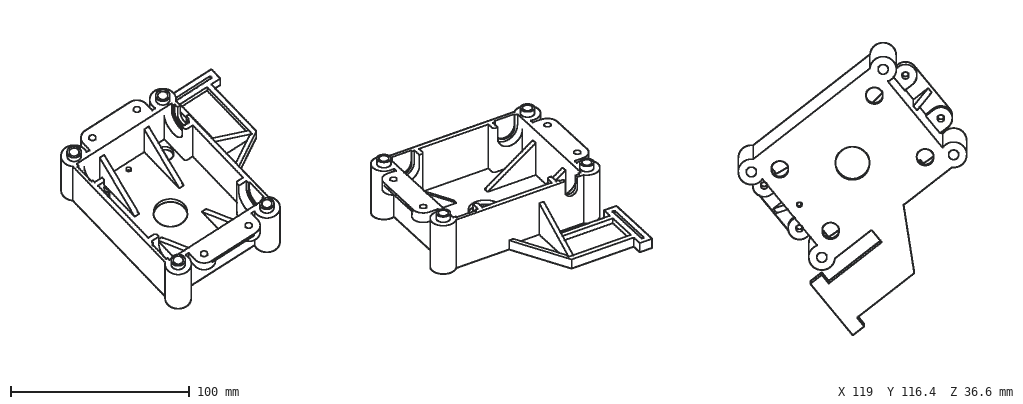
import cadquery as cq
import math

box_height = 33.0
wall = 3.0
floor = 3.0
inner_half_x = 42.0
inner_half_y = 33.7
outer_half_x = inner_half_x + wall
outer_half_y = inner_half_y + wall

post_x = 47.3
post_y = 31.5
post_radius = 7.4
pin_diameter = 8.0
pin_height = 3.6
post_bore = 5.6
post_web_reach = 6.8

ear_reach = 57.1
ear_radius = 6.4
ear_hole_x = ear_reach - ear_radius
ear_hole_y = 15.8
ear_hole = 3.9
ear_boss_height = 6.4
ear_plate = 3.0
ear_round = 1.5
ear_rib_width = 3.2
ear_rib_bottom = 14.8

centre_hole = 19.0
corner_hole = 9.5
corner_hole_y = 22.7
pilot_hole = 2.9
pilot_x = -38.1

rib_width = 3.2
rib_length = 31.8
rib_height = 21.8

seat_radius = 8.1
seat_x = inner_half_x - seat_radius
seat_z = 25.6
seat_depth = 5.2
seat_side = 3.0
seat_round = 1.5
recess_radius = 6.4
recess_depth = 1.0
shaft_slot_width = 7.9

arm_height = 6.3
arm_floor = 3.0
bar_left = -61.9
bar_width = 8.2
bar_y_min = 39.4
bar_length = 38.1
slot_width = 1.5
slot_margin = 3.5
tray_y_min = 45.7
tray_y_max = 71.1
tray_wall = 3.1
gusset_right = -12.7
gusset_angle = 30.0
brace_angle = 30.0
brace_width = 2.9

bar_right = bar_left + bar_width
gusset_left = gusset_right - wall
SIDES = (-1, 1)
CORNERS = [(sx, sy) for sx in SIDES for sy in SIDES]


def block(x0, x1, y0, y1, z0, z1):
    """Box between two opposite corners, given in any order."""
    size = (abs(x1 - x0), abs(y1 - y0), abs(z1 - z0))
    corner = (min(x0, x1), min(y0, y1), min(z0, z1))
    return cq.Workplane("XY").box(*size, centered=False).translate(corner)


def rod(x, y, diameter, z0, z1):
    """Upright cylinder."""
    return cq.Workplane("XY", origin=(x, y, z0)).circle(diameter / 2).extrude(z1 - z0)


def prism_along_y(points, y, width):
    """Outline in x and z, given a thickness centred on y."""
    return cq.Workplane("XZ", origin=(0, y, 0)).polyline(points).close().extrude(width / 2, both=True)


def make_post(sx, sy):
    """Corner post, its pin and the web that joins it to the short wall."""
    x, y = sx * post_x, sy * post_y
    post = rod(x, y, 2 * post_radius, 0, box_height)
    pin = rod(x, y, pin_diameter, 0, box_height + pin_height)
    web = block(x, sx * inner_half_x, y - sy * post_web_reach, y, 0, box_height)
    return post.union(pin).union(web)


def make_ear(side):
    """Thin plate with two thick round bosses and a supporting rib."""
    bottom = box_height - ear_boss_height
    plate_bottom = box_height - ear_plate
    root = side * inner_half_x
    tip = side * ear_reach
    plate = block(root, tip, -ear_hole_y, ear_hole_y, plate_bottom, box_height)
    lower_outer_edge = "<Z and >X" if side > 0 else "<Z and <X"
    ear = plate.edges(lower_outer_edge).fillet(ear_round)
    for sy in SIDES:
        x, y = side * ear_hole_x, sy * ear_hole_y
        ear = ear.union(rod(x, y, 2 * ear_radius, bottom, box_height))
        ear = ear.union(block(root, x, y - ear_radius, y + ear_radius, bottom, box_height))
    rib_points = [
        (root, plate_bottom),
        (tip - side * ear_round, plate_bottom),
        (side * outer_half_x, ear_rib_bottom),
        (root, ear_rib_bottom),
    ]
    return ear.union(prism_along_y(rib_points, 0, ear_rib_width))


def make_inner_rib(sx, sy):
    """Triangular rib from the short wall down to the floor."""
    root = sx * inner_half_x
    toe = sx * (inner_half_x - rib_length)
    points = [(root, floor), (toe, floor), (root, floor + rib_height)]
    return prism_along_y(points, sy * ear_hole_y, rib_width)


def u_slot(x, radius, y0, y1):
    """Upright slot, open at the top, with a round bottom."""
    return (
        cq.Workplane("XZ", origin=(x, max(y0, y1), 0))
        .moveTo(-radius, box_height)
        .lineTo(-radius, seat_z)
        .threePointArc((0, seat_z - radius), (radius, seat_z))
        .lineTo(radius, box_height)
        .close()
        .extrude(abs(y1 - y0))
    )


def make_seat_block(sx, sy):
    """Solid corner block, later hollowed by its bearing seat."""
    inner_edge = seat_x - seat_radius - seat_side
    front = inner_half_y - seat_depth
    pad = block(sx * inner_half_x, sx * inner_edge, sy * inner_half_y, sy * front, 0, box_height)
    free_edge = cq.selectors.NearestToPointSelector((sx * inner_edge, sy * front, box_height / 2))
    return pad.edges("|Z").edges(free_edge).fillet(seat_round)


def make_arm():
    """Side arm that grows from the long wall at +Y."""
    root_y = inner_half_y
    brace_slope = math.tan(math.radians(brace_angle))
    brace_root_x = gusset_right + (tray_y_max - root_y) * brace_slope
    bar = block(bar_left, bar_right, bar_y_min, bar_y_min + bar_length, 0, arm_height)
    bar_middle = (bar_left + bar_right) / 2
    bar_slot = block(
        bar_middle - slot_width / 2,
        bar_middle + slot_width / 2,
        bar_y_min + slot_margin,
        bar_y_min + bar_length - slot_margin,
        arm_floor,
        arm_height,
    )
    tray = block(bar_right, gusset_right, tray_y_min, tray_y_max, 0, arm_height)
    pocket_top = tray_y_max - tray_wall
    pocket = block(bar_right, gusset_left, tray_y_min + tray_wall, pocket_top, arm_floor, arm_height)

    brace_points = [
        (gusset_left, root_y),
        (gusset_left, tray_y_max),
        (gusset_right, tray_y_max),
        (brace_root_x, root_y),
    ]
    brace = cq.Workplane("XY").polyline(brace_points).close().extrude(arm_height)
    inner_root_x = brace_root_x - brace_width
    inner_tip_y = root_y + (inner_root_x - gusset_right) / brace_slope
    brace_pocket = (
        cq.Workplane("XY", origin=(0, 0, arm_floor))
        .polyline([(gusset_right, root_y), (gusset_right, inner_tip_y), (inner_root_x, root_y)])
        .close()
        .extrude(arm_height)
    )
    rise = (pocket_top - root_y) * math.tan(math.radians(gusset_angle))
    gusset = (
        cq.Workplane("YZ", origin=(gusset_left, 0, 0))
        .polyline([(root_y, 0), (pocket_top, 0), (pocket_top, arm_height), (root_y, arm_height + rise)])
        .close()
        .extrude(wall)
    )
    arm = bar.cut(bar_slot).union(tray.cut(pocket))
    return arm.union(brace.cut(brace_pocket)).union(gusset)


body = block(-outer_half_x, outer_half_x, -outer_half_y, outer_half_y, 0, box_height)
body = body.union(make_arm())
for side in SIDES:
    body = body.union(make_ear(side))
for corner in CORNERS:
    body = body.union(make_post(*corner))
body = body.cut(block(-inner_half_x, inner_half_x, -inner_half_y, inner_half_y, floor, box_height))

for sx, sy in CORNERS:
    body = body.union(make_inner_rib(sx, sy)).union(make_seat_block(sx, sy))
for sx, sy in CORNERS:
    front = sy * (inner_half_y - seat_depth)
    body = body.cut(u_slot(sx * seat_x, seat_radius, front, sy * inner_half_y))
    body = body.cut(u_slot(sx * seat_x, recess_radius, front, sy * (inner_half_y + recess_depth)))
body = body.cut(u_slot(-seat_x, shaft_slot_width / 2, inner_half_y, outer_half_y))

body = body.cut(rod(0, 0, centre_hole, 0, floor))
body = body.cut(rod(pilot_x, 0, pilot_hole, 0, floor))
for sx, sy in CORNERS:
    body = body.cut(rod(sx * seat_x, sy * corner_hole_y, corner_hole, 0, floor))
    body = body.cut(rod(sx * ear_hole_x, sy * ear_hole_y, ear_hole, 0, box_height))
    body = body.cut(rod(sx * post_x, sy * post_y, post_bore, 0, box_height + pin_height))

result = body